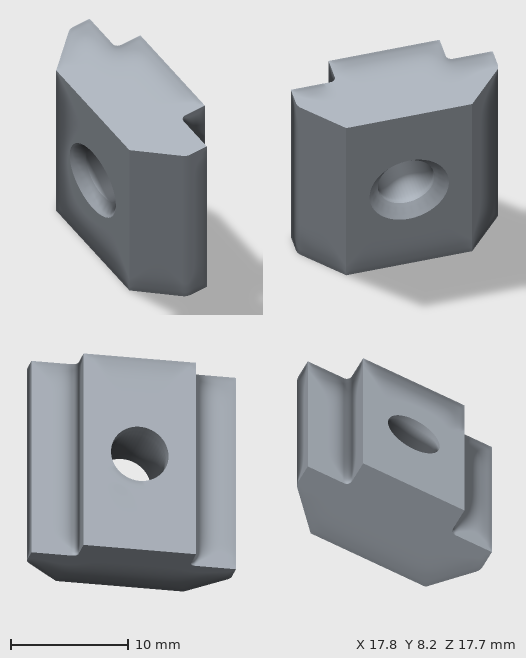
import cadquery as cq

width = 17.8
depth = 8.2
height = 17.7

neck_width = 9.79
neck_depth = 2.51
front_width = 11.1
taper_depth = 3.65
neck_fillet = 0.5
side_fillet = 1.0

hole_diameter = 5.0
countersink_diameter = 7.0
countersink_angle = 90.0

front_y = -depth / 2
back_y = depth / 2
shoulder_y = back_y - neck_depth
taper_y = front_y + taper_depth


def make_body():
    """Extrude the nut profile along Z and round its long edges."""
    half_profile = [
        (0, front_y),
        (front_width / 2, front_y),
        (width / 2, taper_y),
        (width / 2, shoulder_y),
        (neck_width / 2, shoulder_y),
        (neck_width / 2, back_y),
        (0, back_y),
    ]
    half = (
        cq.Workplane("XY")
        .workplane(offset=-height / 2)
        .polyline(half_profile)
        .close()
        .extrude(height)
    )
    body = half.union(half.mirror("YZ")).clean()
    for x, y, radius in (
        (neck_width / 2, shoulder_y, neck_fillet),
        (width / 2, taper_y, side_fillet),
    ):
        for side in (-1, 1):
            edge = cq.selectors.NearestToPointSelector((side * x, y, 0))
            body = body.edges("|Z").edges(edge).fillet(radius)
    return body


def drill_hole(body):
    """Cut the through hole and its countersink at the centre of the front face."""
    return (
        body.faces("<Y")
        .workplane(centerOption="CenterOfMass")
        .cskHole(hole_diameter, countersink_diameter, countersink_angle)
    )


result = drill_hole(make_body())